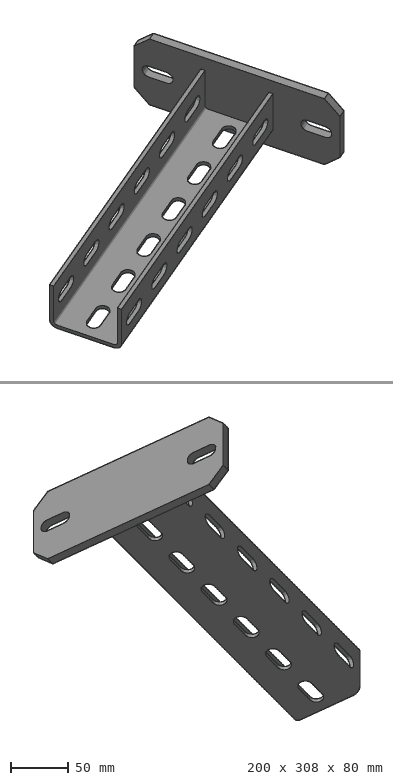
import cadquery as cq

total_length = 308.0
plate_width = 200.0
plate_height = 80.0
plate_thickness = 8.0
plate_corner_clip = 15.0
plate_slot_offset = 77.0

channel_length = total_length - plate_thickness
channel_width = 70.0
channel_height = 50.0
sheet_thickness = 4.0
inner_bend_radius = 3.7
outer_bend_radius = inner_bend_radius + sheet_thickness

slot_length = 30.0
slot_width = 13.0
slots_per_face = 6
slot_pitch = channel_length / slots_per_face


def make_plate():
    """Plate from Y = 0 to Y = plate_thickness, with one slot near each end."""
    blank = (
        cq.Workplane("XY")
        .box(plate_width, plate_thickness, plate_height)
        .translate((0, plate_thickness / 2, 0))
        .edges("|Y")
        .chamfer(plate_corner_clip)
    )
    slots = (
        cq.Workplane("XZ")
        .pushPoints([(-plate_slot_offset, 0), (plate_slot_offset, 0)])
        .slot2D(slot_length, slot_width)
        .extrude(-plate_thickness)
    )
    return blank.cut(slots)


def make_channel_blank():
    """U-shaped bent sheet from Y = 0 to Y = -channel_length."""
    inner_width = channel_width - 2 * sheet_thickness
    outside = (
        cq.Workplane("XZ")
        .rect(channel_width, channel_height)
        .extrude(channel_length)
        .edges("|Y and <Z")
        .fillet(outer_bend_radius)
    )
    inside = (
        cq.Workplane("XZ")
        .center(0, sheet_thickness / 2)
        .rect(inner_width, channel_height - sheet_thickness)
        .extrude(channel_length)
        .edges("|Y and <Z")
        .fillet(inner_bend_radius)
    )
    return outside.cut(inside)


def make_channel():
    """Channel with one row of slots through its floor and one through both side walls."""
    slot_centres = [-(i + 0.5) * slot_pitch for i in range(slots_per_face)]
    floor_slots = (
        cq.Workplane("XY")
        .pushPoints([(0, y) for y in slot_centres])
        .slot2D(slot_length, slot_width, 90)
        .extrude(-channel_height)
    )
    wall_slots = (
        cq.Workplane("YZ")
        .pushPoints([(y, 0) for y in slot_centres])
        .slot2D(slot_length, slot_width)
        .extrude(channel_width / 2, both=True)
    )
    return make_channel_blank().cut(floor_slots).cut(wall_slots)


plate = make_plate()
channel = make_channel()

result = cq.Compound.makeCompound([plate.solids().val(), channel.solids().val()])